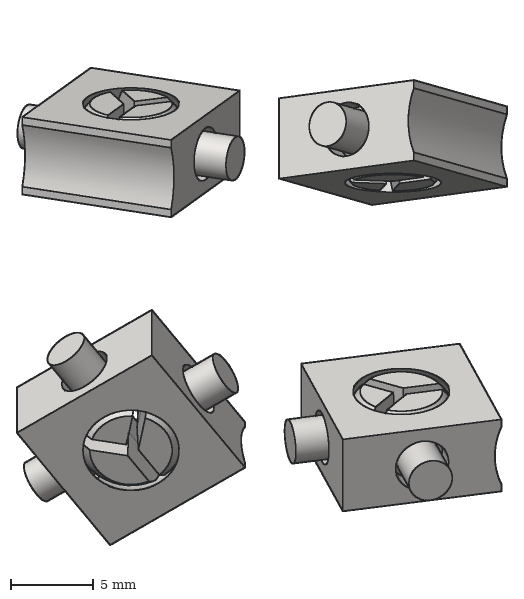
import cadquery as cq
import math

pin_span = 14.0
block_side = 10.0
block_height = 5.0
half_side = block_side / 2
half_height = block_height / 2

groove_radius = 5.0
groove_lip = 0.5

cavity_radius = 3.85
ball_radius = 3.54

pin_diameter = 2.73
bore_diameter = 3.33
pin_tip = pin_span / 2
pin_root = 2.8

gap_mid = 0.63
gap_face = 0.78
gap_center_y = -0.05
gap_taper = math.degrees(math.atan((gap_face - gap_mid) / 2 / half_height))

pin_angles = (0, 90, 180)
gap_arm_angles = (-90, 45, 135, 270)


def radial_cylinder(diameter, length, angle):
    """Horizontal cylinder from the centre outwards."""
    cylinder = cq.Workplane("YZ").circle(diameter / 2).extrude(length)
    return cylinder.rotate((0, 0, 0), (0, 0, 1), angle)


def make_housing():
    block = cq.Workplane("XY").box(block_side, block_side, block_height)
    housing = block.cut(cq.Workplane("XY").sphere(cavity_radius))
    for angle in pin_angles:
        housing = housing.cut(radial_cylinder(bore_diameter, block_side, angle))

    half_chord = half_height - groove_lip
    groove_axis_y = -half_side - math.sqrt(groove_radius**2 - half_chord**2)
    groove = (
        cq.Workplane("YZ")
        .center(groove_axis_y, 0)
        .circle(groove_radius)
        .extrude(half_side, both=True)
    )
    return housing.cut(groove)


def make_wedge(start_angle, end_angle):
    """Sector between two gap arms, drafted away from its mid-height plane."""
    start = math.radians(start_angle)
    end = math.radians(end_angle)
    middle = (start + end) / 2
    reach = block_side
    corner_distance = gap_mid / 2 / math.sin((end - start) / 2)
    corner_x = corner_distance * math.cos(middle)
    corner_y = gap_center_y + corner_distance * math.sin(middle)
    outline = [(corner_x, corner_y)]
    for angle in (start, middle, end):
        outline.append((corner_x + reach * math.cos(angle), corner_y + reach * math.sin(angle)))
    upper = cq.Workplane("XY").polyline(outline).close().extrude(half_height, taper=gap_taper)
    return upper.union(upper.mirror("XY"))


def make_ball_segment(pin_angle, start_angle, end_angle):
    """Ball segment with flat faces and its outward pin, as one piece."""
    slab = cq.Workplane("XY").box(block_side, block_side, block_height)
    wedge = make_wedge(start_angle, end_angle)
    segment = cq.Workplane("XY").sphere(ball_radius).intersect(slab).intersect(wedge)
    pin_base = cq.Workplane("YZ").workplane(offset=pin_root)
    pin = pin_base.circle(pin_diameter / 2).extrude(pin_tip - pin_root)
    return segment.union(pin.rotate((0, 0, 0), (0, 0, 1), pin_angle))


housing = make_housing()
segments = []
for index, pin_angle in enumerate(pin_angles):
    segments.append(make_ball_segment(pin_angle, gap_arm_angles[index], gap_arm_angles[index + 1]))

result = cq.Compound.makeCompound([housing.val(), *[segment.val() for segment in segments]])